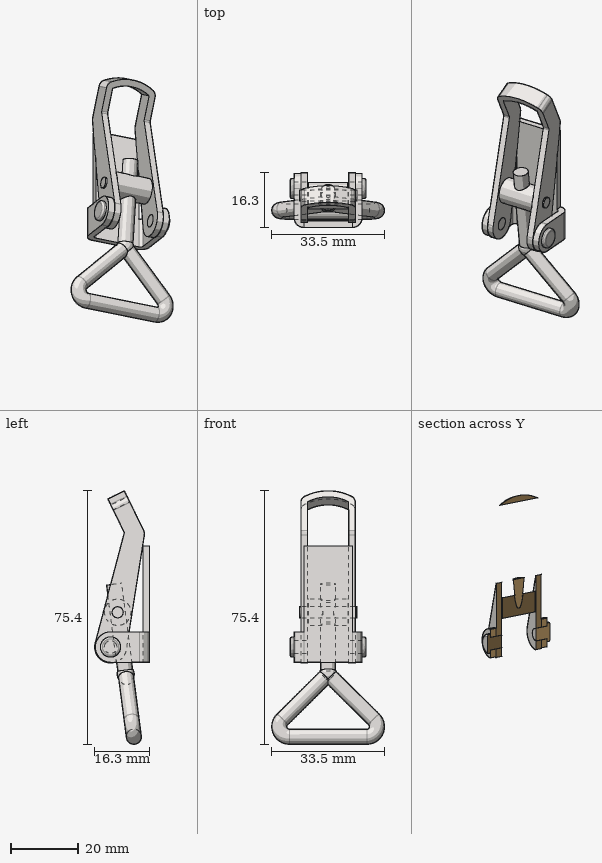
import cadquery as cq
import math


overall_height = 75.35
sheet = 2.0

lever_width = 16.2
base_width = lever_width + 2 * sheet
base_bend_radius = 2.95
plate_width = base_width - 2 * base_bend_radius
plate_height = 34.6
ear_height = 9.05
ear_radius = ear_height / 2

pivot_y = 11.6
pivot_z = ear_radius
rivet_head_radius = 3.0
rivet_head_height = 1.1
rivet_head_fillet = 0.6
rivet_shank_radius = 1.9

lever_gap = lever_width - 2 * sheet
lever_end_radius = 4.75
knee_y = 1.4
knee_z = 38.5
knee_front_fillet = 2.25
knee_back_fillet = 0.75
grip_angle = 26
grip_width = 5.5
grip_length = 13.9
arch_radius = 14.1
arch_corner_fillet = 2.25
lever_top = knee_z + grip_length * math.cos(math.radians(grip_angle))

barrel_y = 9.5
barrel_z = 14.85
barrel_radius = 3.9
barrel_clearance = 0.2
pin_radius = 1.65
pin_protrusion = 0.45

loop_width = 33.5
wire_radius = 2.25
wire_bend_radius = 3.0
loop_tilt = 7.4
stem_top = 8.45
fork_ball_radius = 2.55
arm_angle = 45
bend_tangent = wire_bend_radius / math.tan(math.radians(arm_angle / 2))
corner_x = loop_width / 2 - wire_radius - wire_bend_radius + bend_tangent
bottom_bar_z = lever_top - overall_height + wire_radius
bottom_depth = (barrel_z - bottom_bar_z) / math.cos(math.radians(loop_tilt))
fork_depth = bottom_depth - corner_x * math.tan(math.radians(arm_angle))


def cylinder_along_x(radius, x_start, x_end, y, z):
    """Cylinder parallel to X between two X positions."""
    return cq.Workplane("YZ", origin=(x_start, y, z)).circle(radius).extrude(x_end - x_start)


def centred_cylinder_along_x(radius, length, y, z):
    """Cylinder parallel to X, centred on the latch."""
    return cylinder_along_x(radius, -length / 2, length / 2, y, z)


def place_at_barrel(body):
    """Tilt a body drawn about the barrel axis and move it to the barrel."""
    return body.rotate((0, 0, 0), (1, 0, 0), -loop_tilt).translate((0, barrel_y, barrel_z))


def upright_block(width, front_y, height, corner_radius):
    """Block from front_y to well behind the ears, with its two front corners rounded."""
    depth = 2 * pivot_y
    return (
        cq.Workplane("XY", origin=(0, front_y + depth / 2, 0))
        .rect(width, depth)
        .extrude(height)
        .edges("|Z and <Y")
        .fillet(corner_radius)
    )


def make_base():
    """Flat plate with two bent, round-ended ears that carry the rivets."""
    outside = upright_block(base_width, 0, ear_height, base_bend_radius)
    inside = upright_block(lever_width, sheet, ear_height, base_bend_radius - sheet)
    ear_outline = (
        cq.Workplane("YZ")
        .lineTo(pivot_y, 0)
        .threePointArc((pivot_y + ear_radius, pivot_z), (pivot_y, ear_height))
        .lineTo(0, ear_height)
        .close()
        .extrude(base_width / 2, both=True)
    )
    plate = (
        cq.Workplane("XY", origin=(0, sheet / 2, 0))
        .rect(plate_width, sheet)
        .extrude(plate_height)
    )
    rivet_holes = centred_cylinder_along_x(rivet_shank_radius, base_width, pivot_y, pivot_z)
    return outside.cut(inside).intersect(ear_outline).union(plate).cut(rivet_holes)


def end_tangent_point(corner_y, corner_z, side):
    """Where a line from a knee corner touches the round end; side is -1 in front, 1 behind."""
    away_y = corner_y - pivot_y
    away_z = corner_z - pivot_z
    half_view = math.acos(lever_end_radius / math.hypot(away_y, away_z))
    direction = math.atan2(away_z, away_y) - side * half_view
    return (
        pivot_y + lever_end_radius * math.cos(direction),
        pivot_z + lever_end_radius * math.sin(direction),
    )


def lever_side_shape():
    """Side profile at full lever width: round end, tapering limb and angled grip."""
    sin_grip = math.sin(math.radians(grip_angle))
    cos_grip = math.cos(math.radians(grip_angle))
    knee_front = (knee_y, knee_z)
    knee_back = (knee_y + grip_width / cos_grip, knee_z)
    top_front = (knee_y + grip_length * sin_grip, knee_z + grip_length * cos_grip)
    top_back = (top_front[0] + grip_width * cos_grip, top_front[1] - grip_width * sin_grip)
    end_front = end_tangent_point(*knee_front, -1)
    end_back = end_tangent_point(*knee_back, 1)
    shape = (
        cq.Workplane("YZ")
        .moveTo(*end_front)
        .lineTo(*knee_front)
        .lineTo(*top_front)
        .lineTo(*top_back)
        .lineTo(*knee_back)
        .lineTo(*end_back)
        .threePointArc((pivot_y, pivot_z - lever_end_radius), end_front)
        .close()
        .extrude(lever_width / 2, both=True)
    )
    for corner, radius in ((knee_front, knee_front_fillet), (knee_back, knee_back_fillet)):
        corner_edge = cq.selectors.NearestToPointSelector((0, *corner))
        shape = shape.edges("|X").edges(corner_edge).fillet(radius)
    return shape


def arched_strip(width, radius, apex):
    """Arch-topped strip in the XZ plane, longer and deeper than the lever below the knee."""
    half = width / 2
    foot = -(knee_z + lever_end_radius) * 2
    shoulder = apex - radius + math.sqrt(radius**2 - half**2)
    return (
        cq.Workplane("XZ")
        .moveTo(-half, foot)
        .lineTo(half, foot)
        .lineTo(half, shoulder)
        .threePointArc((0, apex), (-half, shoulder))
        .close()
        .extrude(knee_z, both=True)
    )


def make_lever():
    """Two side limbs joined by an arch that is cut square to the grip."""
    strip = (
        arched_strip(lever_width, arch_radius, grip_length)
        .edges("|Y")
        .edges(">Z")
        .fillet(arch_corner_fillet)
    )
    opening = arched_strip(lever_gap, arch_radius - sheet, grip_length - sheet)
    hoop = (
        strip.cut(opening)
        .rotate((0, 0, 0), (1, 0, 0), -grip_angle)
        .translate((0, knee_y, knee_z))
    )
    rivet_holes = centred_cylinder_along_x(rivet_shank_radius, lever_width, pivot_y, pivot_z)
    pin_holes = centred_cylinder_along_x(pin_radius, lever_width, barrel_y, barrel_z)
    return lever_side_shape().intersect(hoop).cut(rivet_holes).cut(pin_holes)


def make_rivet(side):
    """Rivet through one ear and one lever limb; side is -1 or 1 along X."""
    ear_face = side * base_width / 2
    head_face = side * (base_width / 2 + rivet_head_height)
    head = (
        cylinder_along_x(rivet_head_radius, ear_face, head_face, pivot_y, pivot_z)
        .faces(">X" if side > 0 else "<X")
        .edges()
        .fillet(rivet_head_fillet)
    )
    shank = cylinder_along_x(rivet_shank_radius, side * lever_gap / 2, ear_face, pivot_y, pivot_z)
    return head.union(shank)


def make_pin():
    """Plain pin that joins lever, barrel and loop stem."""
    return centred_cylinder_along_x(pin_radius, lever_width + 2 * pin_protrusion, barrel_y, barrel_z)


def make_stem():
    """Straight stem of the loop, before tilting."""
    return (
        cq.Workplane("XY", origin=(0, 0, -fork_depth))
        .circle(wire_radius)
        .extrude(stem_top + fork_depth)
    )


def make_triangle_half(side):
    """One arm, its lower bend and half of the bottom bar, before tilting."""
    fork = cq.Vector(0, 0, -fork_depth)
    corner = cq.Vector(side * corner_x, 0, -bottom_depth)
    bar_middle = cq.Vector(0, 0, -bottom_depth)
    sharp_path = cq.Wire.makePolygon([fork, corner, bar_middle])
    path = sharp_path.fillet2D(wire_bend_radius, sharp_path.Vertices()[1:2])
    start = cq.Plane(origin=fork, xDir=(0, 1, 0), normal=corner - fork)
    return cq.Workplane(start).circle(wire_radius).sweep(path)


def make_loop():
    """Stem, fork ball and closed triangle, with the cross hole for the pin."""
    loop = make_stem().union(cq.Workplane("XY", origin=(0, 0, -fork_depth)).sphere(fork_ball_radius))
    for side in (-1, 1):
        loop = loop.union(make_triangle_half(side))
    return place_at_barrel(loop).cut(make_pin())


def make_barrel():
    """Cross barrel between the lever limbs, bored for the stem and for the pin."""
    length = lever_gap - 2 * barrel_clearance
    body = centred_cylinder_along_x(barrel_radius, length, barrel_y, barrel_z)
    return body.cut(place_at_barrel(make_stem())).cut(make_pin())


base = make_base()
lever = make_lever()
rivets = [make_rivet(side) for side in (-1, 1)]
pin = make_pin()
barrel = make_barrel()
loop = make_loop()

bodies = [base, lever, *rivets, pin, barrel, loop]
result = cq.Compound.makeCompound([body.solids().val() for body in bodies])